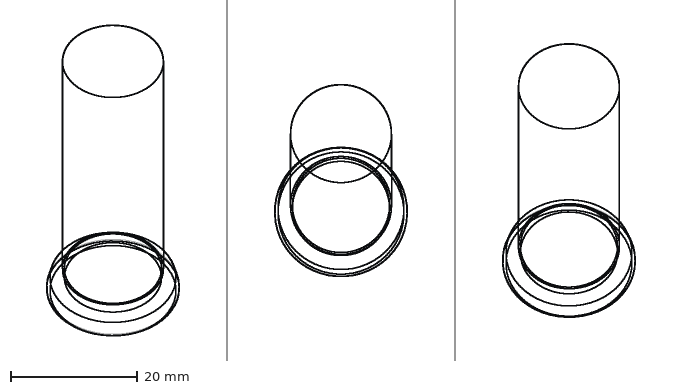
import cadquery as cq

total_height = 52.0
head_height = 3.0
neck_height = 2.0
bottom_chamfer_height = 0.5
rim_height = 0.4

pin_diameter = 16.0
neck_diameter = 15.4
rim_diameter = 21.0
head_top_diameter = 19.95
head_bottom_diameter = 19.95

pin_radius = pin_diameter / 2
neck_radius = neck_diameter / 2
rim_radius = rim_diameter / 2
neck_top = head_height + neck_height

half_section = (
    cq.Workplane("XZ")
    .moveTo(0, 0)
    .lineTo(head_bottom_diameter / 2, 0)
    .lineTo(rim_radius, bottom_chamfer_height)
    .lineTo(rim_radius, bottom_chamfer_height + rim_height)
    .lineTo(head_top_diameter / 2, head_height)
    .lineTo(neck_radius, head_height)
    .lineTo(neck_radius, neck_top)
    .lineTo(pin_radius, neck_top)
    .lineTo(pin_radius, total_height)
    .lineTo(0, total_height)
    .close()
)

result = half_section.revolve(360, (0, 0, 0), (0, 1, 0))